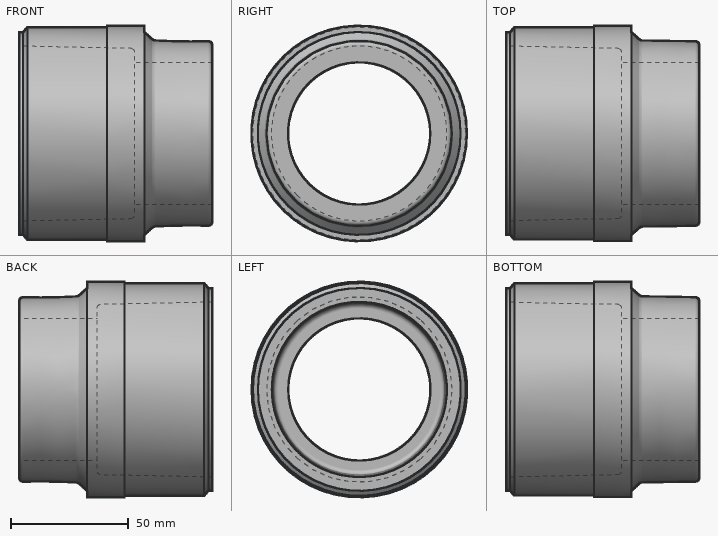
import cadquery as cq

total_length = 82.0
lip_length = 1.7
chamfer_end = 3.5
collar_start = 37.2
collar_end = 53.2
neck_start = 57.0
socket_depth = 48.95

collar_radius = 45.75
body_radius = 45.1
lip_radius = 43.0
neck_start_radius = 39.5
neck_end_radius = 39.2

socket_mouth_radius = 37.15
socket_floor_radius = 36.1
through_bore_radius = 30.1

round_radius = 1.8


def revolve_about_x(profile):
    """Revolve (position along X, radius) points around the X axis."""
    return cq.Workplane("XY").polyline(profile).close().revolve(360, (0, 0, 0), (1, 0, 0))


def round_edge_at(body, position, radius):
    """Round the circular edge at the given X position and radius."""
    margin = 0.1
    reach = radius + margin
    around_edge = cq.selectors.BoxSelector(
        (position - margin, -reach, -reach),
        (position + margin, reach, reach),
        boundingbox=True,
    )
    return body.edges(around_edge).fillet(round_radius)


outside = revolve_about_x([
    (0, 0),
    (0, lip_radius),
    (lip_length, lip_radius),
    (chamfer_end, body_radius),
    (collar_start, body_radius),
    (collar_start, collar_radius),
    (collar_end, collar_radius),
    (collar_end, lip_radius),
    (neck_start, neck_start_radius),
    (total_length, neck_end_radius),
    (total_length, 0),
])
outside = round_edge_at(outside, neck_start, neck_start_radius)
outside = round_edge_at(outside, total_length, neck_end_radius)

socket = revolve_about_x([
    (0, 0),
    (0, socket_mouth_radius),
    (socket_depth, socket_floor_radius),
    (socket_depth, 0),
])
socket = round_edge_at(socket, socket_depth, socket_floor_radius)
through_bore = cq.Workplane("YZ").circle(through_bore_radius).extrude(total_length)

result = outside.cut(socket).cut(through_bore)